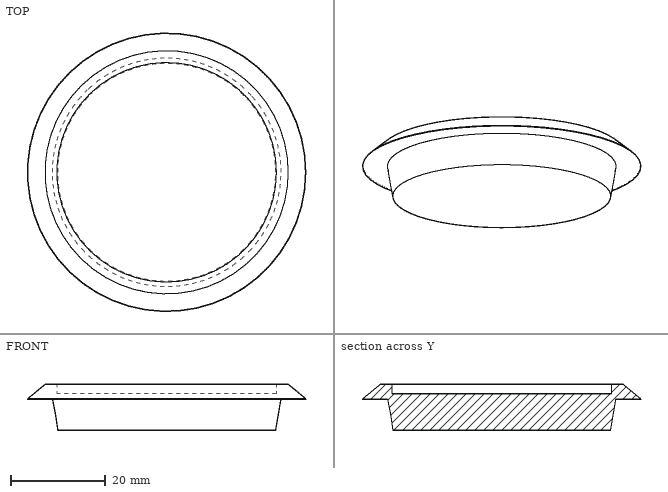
import cadquery as cq
import math

total_height = 9.8
flange_diameter = 59.0
lip_top_diameter = 58.8
flange_top_diameter = 51.5
flange_thickness = 3.2
lip_height = 0.2
recess_diameter = 46.5
recess_depth = 2.0
plug_bottom_diameter = 46.2
plug_draft_angle = 9.7

plug_height = total_height - flange_thickness
plug_bottom_radius = plug_bottom_diameter / 2
plug_top_radius = plug_bottom_radius + plug_height * math.tan(math.radians(plug_draft_angle))
lip_top = plug_height + lip_height


def make_body():
    """Drafted plug and bevelled flange with a thin tapered lip, revolved about the Z axis."""
    half_profile = (
        cq.Workplane("XZ")
        .polyline([
            (0, 0),
            (plug_bottom_radius, 0),
            (plug_top_radius, plug_height),
            (flange_diameter / 2, plug_height),
            (lip_top_diameter / 2, lip_top),
            (flange_top_diameter / 2, total_height),
            (0, total_height),
        ])
        .close()
    )
    return half_profile.revolve(360, (0, 0), (0, 1))


def make_recess():
    """Shallow round pocket sunk into the top of the flange."""
    return (
        cq.Workplane("XY")
        .workplane(offset=total_height - recess_depth)
        .circle(recess_diameter / 2)
        .extrude(recess_depth)
    )


result = make_body().cut(make_recess())